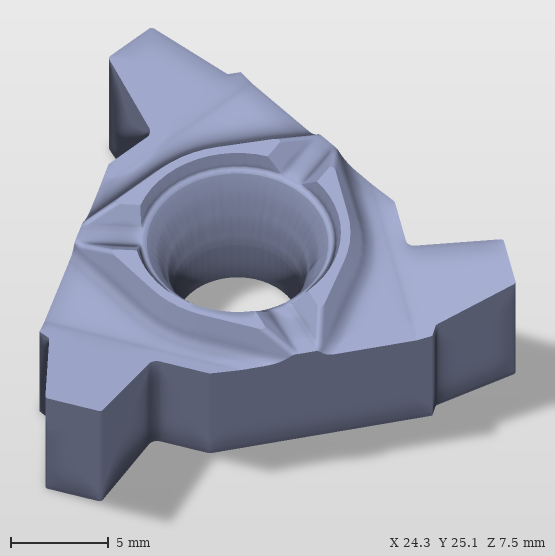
import math

import cadquery as cq

TEETH = 3

height = 7.5
inscribed_diameter = 15.875
flank_distance = inscribed_diameter / 2
shoulder_distance = 8.48
reach = 20.0
selection_margin = 0.01

tip_distance = 13.216
tip_left = -6.12
tip_right = -3.12
tooth_side_angle = 15.0
left_corner_y = -8.44
left_root_y = -8.76
tip_radius = 0.2
left_root_radius = 0.2
right_root_radius = 0.5
shoulder_end_radius = 0.3

floor_z = 6.23
rake_start = 7.62
rake_angle = 10.0
rake_blend_radius = 0.8

rim_distance = 5.77
rim_turn = 32.0
wall_angle = 55.0
wall_foot_radius = 0.73

groove_direction = 194.0
groove_floor_z = 6.74
groove_floor_width = 1.14
groove_side_run = 0.94
groove_root_radius = 0.35
groove_rim_drop = 0.25
groove_rim_radius = 0.3

bore_diameter = 6.5
bore_radius = bore_diameter / 2
seat_radius = 4.72
seat_flare_depth = 4.15
seat_edge_radius = 0.28
ledge_radius = 4.97
ledge_z = groove_floor_z
ledge_root_radius = 0.15
mouth_radius = 5.28


def around(shape):
    """Yield a copy of the shape for each tooth."""
    for i in range(TEETH):
        yield shape.rotate((0, 0, 0), (0, 0, 1), i * 360 / TEETH)


def rotate_point(point, angle):
    """Turn a point about the hole axis."""
    x, y = point
    c = math.cos(math.radians(angle))
    s = math.sin(math.radians(angle))
    return (x * c - y * s, x * s + y * c)


def ring_at(radius, z):
    """Selector for the circular edge of the given radius and height round the hole axis."""
    outer = radius + selection_margin
    inner = radius - selection_margin
    low = z - selection_margin
    high = z + selection_margin
    outside = cq.selectors.BoxSelector((-outer, -outer, low), (outer, outer, high), True)
    inside = cq.selectors.BoxSelector((-inner, -inner, low), (inner, inner, high), True)
    return outside - inside


def make_plate():
    """Plate with three teeth, rounded at the tips, roots and shoulder ends."""
    side_slope = math.tan(math.radians(tooth_side_angle))
    left_root = (tip_left - (tip_distance + left_root_y) * side_slope, left_root_y)
    right_root = (tip_right + (tip_distance - shoulder_distance) * side_slope, -shoulder_distance)
    tilt = math.radians(360 / TEETH - 90)
    shoulder_end = (flank_distance - shoulder_distance * math.cos(tilt)) / math.sin(tilt)

    corners = [
        ((-flank_distance, left_corner_y), 0),
        (left_root, left_root_radius),
        ((tip_left, -tip_distance), tip_radius),
        ((tip_right, -tip_distance), tip_radius),
        (right_root, right_root_radius),
        ((shoulder_end, -shoulder_distance), shoulder_end_radius),
    ]
    outline = []
    for i in range(TEETH):
        for point, radius in corners:
            outline.append((rotate_point(point, i * 360 / TEETH), radius))

    plate = cq.Workplane("XY").polyline([point for point, _ in outline]).close().extrude(height)
    for (x, y), radius in outline:
        if radius > 0:
            corner = cq.selectors.NearestToPointSelector((x, y, height / 2))
            plate = plate.edges(corner).fillet(radius)
    return plate


def wall_profile(plane):
    """Space outside the sloping wall, as radius and Z, with the rounded foot."""
    slope = math.radians(wall_angle)
    foot = rim_distance + (height - floor_z) / math.tan(slope)
    tangent = wall_foot_radius * math.tan(slope / 2)
    arc_start = (foot - tangent * math.cos(slope), floor_z + tangent * math.sin(slope))
    arc_mid = (
        foot + tangent - wall_foot_radius * math.sin(slope / 2),
        floor_z + wall_foot_radius * (1 - math.cos(slope / 2)),
    )
    return (
        cq.Workplane(plane)
        .moveTo(rim_distance, height)
        .lineTo(*arc_start)
        .threePointArc(arc_mid, (foot + tangent, floor_z))
        .lineTo(reach, floor_z)
        .lineTo(reach, height)
        .close()
    )


def make_space_above_rake():
    """Space above the flat chip floor and the rising rake face."""
    rake = math.radians(rake_angle)
    tangent = rake_blend_radius * math.tan(rake / 2)
    blend_mid = (
        -rake_start + tangent - rake_blend_radius * math.sin(rake / 2),
        floor_z + rake_blend_radius * (1 - math.cos(rake / 2)),
    )
    blend_end = (-rake_start - tangent * math.cos(rake), floor_z + tangent * math.sin(rake))
    far_z = floor_z + (reach - rake_start) * math.tan(rake)
    return (
        cq.Workplane("YZ")
        .moveTo(reach, floor_z)
        .lineTo(-rake_start + tangent, floor_z)
        .threePointArc(blend_mid, blend_end)
        .lineTo(-reach, far_z)
        .lineTo(reach, far_z)
        .close()
        .extrude(reach, both=True)
    )


def make_chip_pocket():
    """Material removed in front of one tooth: straight, turned and straight wall stretches."""
    outward = cq.Plane(origin=(0, 0, 0), xDir=(0, -1, 0), normal=(-1, 0, 0))
    turn = wall_profile(outward).revolve(rim_turn, (0, 0, 0), (0, -1, 0))
    right = wall_profile(outward).extrude(-reach)
    left = wall_profile(outward).extrude(reach).rotate((0, 0, 0), (0, 0, 1), -rim_turn)
    return right.union(turn).union(left).intersect(make_space_above_rake())


def make_groove():
    """Flat-bottomed groove with sloping sides, running outward from the hole."""
    half_floor = groove_floor_width / 2
    half_top = half_floor + groove_side_run
    profile = [
        (-half_floor, groove_floor_z),
        (half_floor, groove_floor_z),
        (half_top, height),
        (-half_top, height),
    ]
    groove = cq.Workplane("YZ").polyline(profile).close().extrude(reach)
    groove = groove.edges("|X and <Z").fillet(groove_root_radius)
    return groove.rotate((0, 0, 0), (0, 0, 1), groove_direction)


def groove_rim_point(wall_normal, side_normal, z):
    """X and Y at height z where a sloping wall meets a groove side, given their outward directions."""
    drop = height - z
    wall = rim_distance + drop / math.tan(math.radians(wall_angle))
    side = groove_floor_width / 2 + groove_side_run * (1 - drop / (height - groove_floor_z))
    a = math.radians(wall_normal)
    b = math.radians(side_normal)
    det = math.sin(b - a)
    x = (wall * math.sin(b) - side * math.sin(a)) / det
    y = (side * math.cos(a) - wall * math.cos(b)) / det
    return (x, y)


def round_groove_rims(body):
    """Round the slanting edges where each groove breaks through the two sloping walls beside it."""
    spacing = 360 / TEETH
    z = height - groove_rim_drop
    rims = [
        groove_rim_point(-90 - rim_turn, groove_direction + 90, z),
        groove_rim_point(-90 - spacing, groove_direction - 90, z),
    ]
    for point in rims:
        for i in range(TEETH):
            rim = cq.selectors.NearestToPointSelector((*rotate_point(point, i * spacing), z))
            body = body.edges(rim).fillet(groove_rim_radius)
    return body


def make_screw_hole():
    """Bore, curved seat tangent to the bore, ledge and conical mouth."""
    flare = seat_radius - bore_radius
    arc_radius = (flare ** 2 + seat_flare_depth ** 2) / (2 * flare)
    half_angle = math.asin(seat_flare_depth / arc_radius) / 2
    seat_bottom_z = ledge_z - seat_flare_depth
    seat_mid = (
        bore_radius + arc_radius * (1 - math.cos(half_angle)),
        seat_bottom_z + arc_radius * math.sin(half_angle),
    )
    hole = (
        cq.Workplane("XZ")
        .lineTo(bore_radius, 0)
        .lineTo(bore_radius, seat_bottom_z)
        .threePointArc(seat_mid, (seat_radius, ledge_z))
        .lineTo(ledge_radius, ledge_z)
        .lineTo(mouth_radius, height)
        .lineTo(0, height)
        .close()
        .revolve(360, (0, 0, 0), (0, 1, 0))
    )
    for radius, rounding in ((seat_radius, seat_edge_radius), (ledge_radius, ledge_root_radius)):
        hole = hole.edges(ring_at(radius, ledge_z)).fillet(rounding)
    return hole


result = make_plate()
for pocket in around(make_chip_pocket()):
    result = result.cut(pocket)
for groove in around(make_groove()):
    result = result.cut(groove)
result = round_groove_rims(result)
result = result.cut(make_screw_hole())